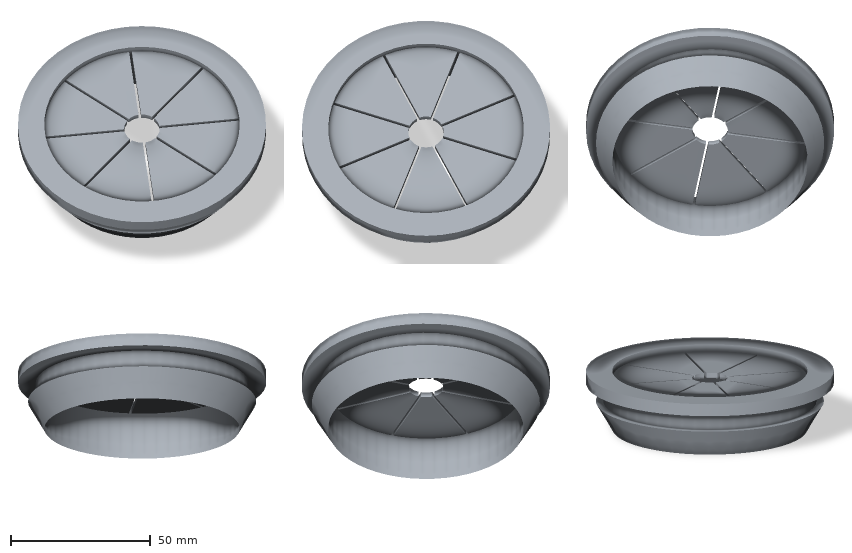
import math

import cadquery as cq

total_height = 21.34
flange_diameter = 88.65
bore_diameter = 69.85

flange_thickness = 4.445
web_thickness = 1.905
center_hole_diameter = 12.7
petal_count = 8
slit_width = 0.97

neck_diameter = 76.2
barb_height = 10.16
barb_taper_angle = 30

bore_radius = bore_diameter / 2
neck_radius = neck_diameter / 2
barb_top_radius = bore_radius + barb_height * math.tan(math.radians(barb_taper_angle))

flange_bottom = total_height - flange_thickness
web_top = flange_bottom + web_thickness


def cylinder(diameter, bottom, top):
    """Solid cylinder on the Z axis between two heights."""
    return cq.Workplane("XY").workplane(offset=bottom).circle(diameter / 2).extrude(top - bottom)


def make_slit(angle):
    """Radial slit from the axis out to the bore cylinder, through the full web thickness."""
    blade_length = flange_diameter / 2
    blade = (
        cq.Workplane("XY")
        .workplane(offset=flange_bottom)
        .center(blade_length / 2, 0)
        .rect(blade_length, slit_width)
        .extrude(web_thickness)
        .rotate((0, 0, 0), (0, 0, 1), angle)
    )
    return blade.intersect(cylinder(bore_diameter, flange_bottom, web_top))


def make_cover():
    """Flange ring whose recessed web is slit into flexible petals around a center hole."""
    plate = cylinder(flange_diameter, flange_bottom, total_height)
    recess = cylinder(bore_diameter, web_top, total_height)
    center_hole = cylinder(center_hole_diameter, flange_bottom, web_top)
    body = plate.cut(recess).cut(center_hole)

    pitch = 360 / petal_count
    for i in range(petal_count):
        body = body.cut(make_slit((i + 0.5) * pitch))
    return body


def make_sleeve():
    """Neck and barb around the bore; the barb's taper meets the bore in a sharp bottom edge."""
    section = (
        cq.Workplane("XZ")
        .moveTo(bore_radius, 0)
        .lineTo(barb_top_radius, barb_height)
        .lineTo(neck_radius, barb_height)
        .lineTo(neck_radius, flange_bottom)
        .lineTo(bore_radius, flange_bottom)
        .close()
    )
    return section.revolve(360, (0, 0, 0), (0, 1, 0))


cover = make_cover()
sleeve = make_sleeve()

result = cq.Compound.makeCompound([cover.val(), sleeve.val()])